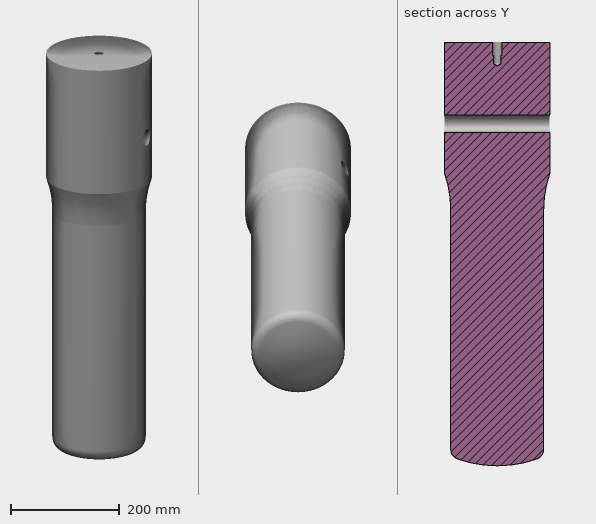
import cadquery as cq
import math

length = 780.0
head_diameter = 195.0
body_diameter = 172.0
head_length = 241.0
flare_length = 66.0
dome_radius = 218.5
knuckle_radius = 20.0
cross_hole_diameter = 31.0
cross_hole_depth = 150.0
top_hole_diameter = 12.5
top_hole_depth = 39.0
counterbore_diameter = 17.0
counterbore_depth = 23.5
drill_point_angle = 118.0

head_radius = head_diameter / 2
body_radius = body_diameter / 2
head_bottom = length - head_length
flare_bottom = head_bottom - flare_length

flare_step = head_radius - body_radius
flare_radius = (flare_step**2 + flare_length**2) / (2 * flare_step)
flare_half_angle = math.asin(flare_length / flare_radius) / 2
flare_middle = (
    body_radius + flare_radius * (1 - math.cos(flare_half_angle)),
    flare_bottom + flare_radius * math.sin(flare_half_angle),
)

knuckle_x = body_radius - knuckle_radius
knuckle_z = dome_radius - math.sqrt((dome_radius - knuckle_radius) ** 2 - knuckle_x**2)
dome_angle = math.asin(knuckle_x / (dome_radius - knuckle_radius))


def dome_point(angle):
    return (dome_radius * math.sin(angle), dome_radius * (1 - math.cos(angle)))


def knuckle_point(angle):
    return (
        knuckle_x + knuckle_radius * math.sin(angle),
        knuckle_z - knuckle_radius * math.cos(angle),
    )


def make_body():
    profile = (
        cq.Workplane("XZ")
        .moveTo(0, 0)
        .threePointArc(dome_point(dome_angle / 2), dome_point(dome_angle))
        .threePointArc(knuckle_point((dome_angle + math.pi / 2) / 2), (body_radius, knuckle_z))
        .lineTo(body_radius, flare_bottom)
        .threePointArc(flare_middle, (head_radius, head_bottom))
        .lineTo(head_radius, length)
        .lineTo(0, length)
        .close()
    )
    return profile.revolve(360, (0, 0, 0), (0, 1, 0))


def make_cross_hole():
    return (
        cq.Workplane("YZ")
        .center(0, length - cross_hole_depth)
        .circle(cross_hole_diameter / 2)
        .extrude(head_diameter, both=True)
    )


def make_top_hole():
    """Blind counterbored hole in the top face, ending in a conical drill point."""
    radius = top_hole_diameter / 2
    counterbore_radius = counterbore_diameter / 2
    step = length - counterbore_depth
    floor = length - top_hole_depth
    point_height = radius / math.tan(math.radians(drill_point_angle / 2))
    profile = (
        cq.Workplane("XZ")
        .moveTo(0, length)
        .lineTo(counterbore_radius, length)
        .lineTo(counterbore_radius, step)
        .lineTo(radius, step)
        .lineTo(radius, floor)
        .lineTo(0, floor - point_height)
        .close()
    )
    return profile.revolve(360, (0, 0, 0), (0, 1, 0))


result = make_body().cut(make_cross_hole()).cut(make_top_hole())